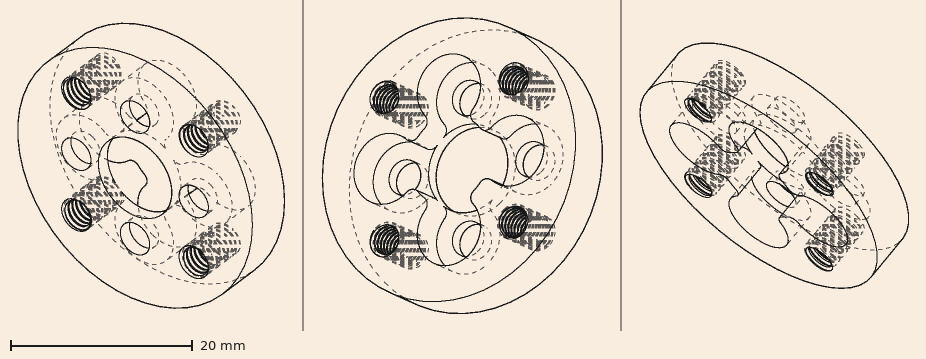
import cadquery as cq
import math

disc_diameter = 32.0
disc_thickness = 6.0
bore_diameter = 10.0

hole_pitch = 8.0
clearance_diameter = 4.0

front_web = 1.7
counterbore_diameter = 8.0
blend_radius = 1.0

thread_major_diameter = 4.0
thread_minor_diameter = 3.3
thread_pitch = 0.7
thread_flank_angle = 30.0
thread_root_width = thread_pitch / 8
thread_overrun = thread_pitch
thread_start_angle = 30.0

groove_overlap = 0.15
sleeve_diameter = 6.0

clearance_positions = [
    (hole_pitch, 0),
    (0, hole_pitch),
    (-hole_pitch, 0),
    (0, -hole_pitch),
]
thread_positions = [(x, z) for x in (-hole_pitch, hole_pitch) for z in (-hole_pitch, hole_pitch)]


def cylinders(diameter, positions, start, end):
    """Cylinders along Y from y = start to y = end, centred at the given (x, z) positions."""
    plane = cq.Workplane("XZ", origin=(0, start, 0))
    return plane.pushPoints(positions).circle(diameter / 2).extrude(start - end)


def make_disc():
    """Round disc with the central bore."""
    disc = cylinders(disc_diameter, [(0, 0)], 0, disc_thickness)
    return disc.cut(cylinders(bore_diameter, [(0, 0)], 0, disc_thickness))


def make_rear_pocket():
    """Bore joined with the four counterbores, the cusps between them rounded."""
    pocket = cylinders(bore_diameter, [(0, 0)], front_web, disc_thickness)
    for position in clearance_positions:
        pocket = pocket.union(cylinders(counterbore_diameter, [position], front_web, disc_thickness))

    bore_radius = bore_diameter / 2
    counterbore_radius = counterbore_diameter / 2
    cusp_distance = (hole_pitch**2 + bore_radius**2 - counterbore_radius**2) / (2 * hole_pitch)
    cusp_angle = math.acos(cusp_distance / bore_radius)
    mid_depth = (front_web + disc_thickness) / 2
    cusp_edges = []
    for x, z in clearance_positions:
        hole_angle = math.atan2(z, x)
        for angle in (hole_angle - cusp_angle, hole_angle + cusp_angle):
            cusp = (bore_radius * math.cos(angle), mid_depth, bore_radius * math.sin(angle))
            cusp_edges += pocket.edges(cq.selectors.NearestToPointSelector(cusp)).vals()
    return pocket.newObject(cusp_edges).fillet(blend_radius)


def make_thread_groove():
    """Right-handed helical V-groove along Y on the origin, running out past both faces of the disc."""
    major_radius = thread_major_diameter / 2
    inner_radius = thread_minor_diameter / 2 - groove_overlap
    root_half_width = thread_root_width / 2
    flank_slope = math.tan(math.radians(thread_flank_angle))
    mouth_half_width = root_half_width + (major_radius - inner_radius) * flank_slope
    helix_length = disc_thickness + 2 * thread_overrun

    def helix(radius, offset):
        curve = cq.Wire.makeHelix(thread_pitch, helix_length, radius)
        return curve.translate(cq.Vector(0, 0, offset)).Edges()[0]

    corners = [
        helix(inner_radius, -mouth_half_width),
        helix(major_radius, -root_half_width),
        helix(major_radius, root_half_width),
        helix(inner_radius, mouth_half_width),
    ]
    faces = [cq.Face.makeRuledSurface(corners[i - 1], corners[i]) for i in range(len(corners))]
    for end_points in ([c.startPoint() for c in corners], [c.endPoint() for c in corners]):
        faces.append(cq.Face.makeFromWires(cq.Wire.makePolygon(end_points, close=True)))
    groove = cq.Workplane(cq.Solid.makeSolid(cq.Shell.makeShell(faces)))
    return groove.rotate((0, 0, 0), (1, 0, 0), -90).translate((0, -thread_overrun, 0))


def make_countersink():
    """45-degree cone on the origin, from the major diameter at the front face to the minor diameter."""
    depth = (thread_major_diameter - thread_minor_diameter) / 2
    mouth = cq.Workplane("XZ").circle(thread_major_diameter / 2)
    return mouth.workplane(offset=-depth).circle(thread_minor_diameter / 2).loft()


def make_threaded_sleeve():
    """Sleeve along Y on the origin with a threaded, countersunk hole."""
    sleeve = cylinders(sleeve_diameter, [(0, 0)], 0, disc_thickness)
    sleeve = sleeve.cut(make_thread_groove())
    sleeve = sleeve.cut(cylinders(thread_minor_diameter, [(0, 0)], 0, disc_thickness))
    return sleeve.cut(make_countersink())


result = make_disc()
result = result.cut(make_rear_pocket())
result = result.cut(cylinders(clearance_diameter, clearance_positions, 0, disc_thickness))

result = result.cut(cylinders(sleeve_diameter, thread_positions, 0, disc_thickness))
first_sleeve = make_threaded_sleeve().rotate((0, 0, 0), (0, 1, 0), thread_start_angle)
first_sleeve = first_sleeve.translate((-hole_pitch, 0, hole_pitch))
for turn in range(len(thread_positions)):
    result = result.union(first_sleeve.rotate((0, 0, 0), (0, 1, 0), turn * 360 / len(thread_positions)))
result = cq.Workplane(result.clean().solids().val())